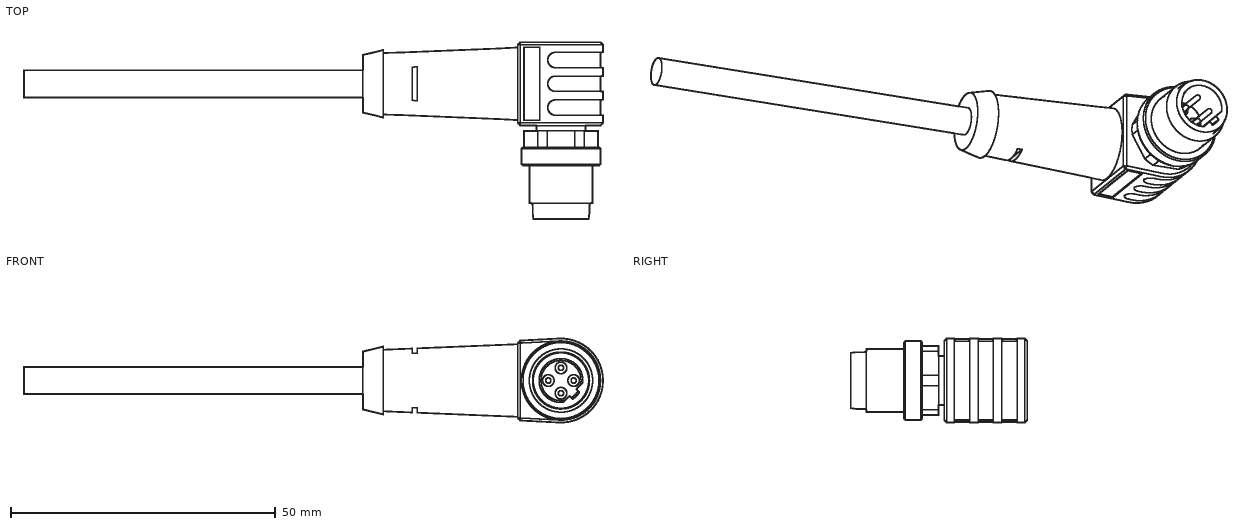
import cadquery as cq
import math


CABLE_DIAMETER = 5.2
CABLE_END_X = -101.685
SLEEVE_START_X = -37.5
LIP_X = -33.6
LIP_START_DIAMETER = 11.0
LIP_DIAMETER = 12.9
SLEEVE_SMALL_DIAMETER = 11.7
SLEEVE_LARGE_DIAMETER = 13.8
NOTCH_CENTER_X = -27.7
NOTCH_WIDTH = 0.9
NOTCH_FLOOR_Z = 5.2

HEAD_RADIUS = 7.985
HEAD_DEPTH = 15.8
HEAD_BACK_X = -8.2
HEAD_TAPER_DEG = 3.0
HEAD_CHAMFER = 0.5
GRIP_COUNT = 3
GRIP_WIDTH = 2.9
GRIP_PITCH = 4.5
GRIP_START_X = -2.5
GRIP_DEPTH = 0.5
GRIP_FLOOR_FILLET = 0.25
LABEL_CENTER_X = -5.1
LABEL_LENGTH = 3.0
LABEL_WIDTH = 13.8
LABEL_DEPTH = 0.2

HEAD_FRONT = HEAD_DEPTH / 2
TOTAL_Y = 33.5
PLUG_LENGTH = TOTAL_Y - HEAD_DEPTH
NECK_DIAMETER = 9.3
NECK_END = 1.0
NUT_FLATS = 13.1
NUT_CORNERS = 14.1
HALF_HEX_STEP_DEG = 30.0
NUT_END = 4.1
COLLAR_DIAMETER = 15.0
COLLAR_END = 7.6
COLLAR_CHAMFER = 0.3
BODY_DIAMETER = 12.0
BODY_END = 14.7
NOSE_ROOT_FILLET = 0.35
NOSE_DIAMETER = 10.8
NOSE_TIP_DIAMETER = 10.5
NOSE_TAPER_START = 16.6

CAVITY_DIAMETER = 8.3
CAVITY_DEPTH = 9.0
CAVITY_FLOOR = PLUG_LENGTH - CAVITY_DEPTH
CAVITY_FLOOR_DIAMETER = 7.6
FLAT_DISTANCE = 3.2
KEYWAY_WIDTH = 1.8
KEYWAY_ANGLE_DEG = 45.0
PIN_COUNT = 4
PIN_DIAMETER = 1.0
PIN_CIRCLE_RADIUS = 2.4
PIN_SETBACK = 1.5
PIN_RECESS_DIAMETER = 2.2
PIN_RECESS_DEPTH = 0.5

OVERLAP = 0.5


def make_cable_and_sleeve():
    """Cable, flared lip and tapered sleeve as one turned body."""
    return (
        cq.Workplane("XZ")
        .moveTo(CABLE_END_X, 0)
        .lineTo(CABLE_END_X, CABLE_DIAMETER / 2)
        .lineTo(SLEEVE_START_X, CABLE_DIAMETER / 2)
        .lineTo(SLEEVE_START_X, LIP_START_DIAMETER / 2)
        .lineTo(LIP_X, LIP_DIAMETER / 2)
        .lineTo(LIP_X, SLEEVE_SMALL_DIAMETER / 2)
        .lineTo(HEAD_BACK_X, SLEEVE_LARGE_DIAMETER / 2)
        .lineTo(HEAD_BACK_X + OVERLAP, SLEEVE_LARGE_DIAMETER / 2)
        .lineTo(HEAD_BACK_X + OVERLAP, 0)
        .close()
        .revolve(360, (0, 0, 0), (1, 0, 0))
    )


def cut_sleeve_notches(body):
    """Flat-bottomed notch across the top and the bottom of the sleeve."""
    height = LIP_DIAMETER / 2 - NOTCH_FLOOR_Z
    for side in (1, -1):
        notch = cq.Workplane("XY").box(NOTCH_WIDTH, LIP_DIAMETER, height)
        center_z = side * (NOTCH_FLOOR_Z + height / 2)
        body = body.cut(notch.translate((NOTCH_CENTER_X, 0, center_z)))
    return body


def make_head_block(radius):
    """Round-ended block whose sloping flanks are tangent to the round end."""
    taper = math.radians(HEAD_TAPER_DEG)
    tangent_x = -radius * math.sin(taper)
    tangent_z = radius * math.cos(taper)
    back_z = tangent_z + (HEAD_BACK_X - tangent_x) * math.tan(taper)
    return (
        cq.Workplane("XZ")
        .moveTo(HEAD_BACK_X, -back_z)
        .lineTo(tangent_x, -tangent_z)
        .threePointArc((radius, 0), (tangent_x, tangent_z))
        .lineTo(HEAD_BACK_X, back_z)
        .close()
        .extrude(HEAD_DEPTH / 2, both=True)
    )


def make_grip_cutter():
    """Round-ended finger groove wrapped around the round end of the head."""
    end_x = HEAD_RADIUS + GRIP_WIDTH
    slot = (
        cq.Workplane("XY")
        .slot2D(end_x - GRIP_START_X, GRIP_WIDTH)
        .extrude(2 * HEAD_RADIUS, both=True)
        .translate(((GRIP_START_X + end_x) / 2, 0, 0))
    )
    cutter = slot.cut(make_head_block(HEAD_RADIUS - GRIP_DEPTH))
    near_head = cq.selectors.BoxSelector(
        (GRIP_START_X - OVERLAP, -GRIP_WIDTH, -HEAD_RADIUS),
        (HEAD_RADIUS, GRIP_WIDTH, HEAD_RADIUS),
    )
    return cutter.edges("not |Y").edges(near_head).fillet(GRIP_FLOOR_FILLET)


def cut_grips(head):
    cutter = make_grip_cutter()
    for index in range(GRIP_COUNT):
        offset_y = (index - (GRIP_COUNT - 1) / 2) * GRIP_PITCH
        head = head.cut(cutter.translate((0, offset_y, 0)))
    return head


def cut_label_recesses(head):
    """Shallow rectangular recess following each sloping flank."""
    flank_distance = HEAD_RADIUS - LABEL_DEPTH / 2
    label = (
        cq.Workplane("XY")
        .box(LABEL_LENGTH, LABEL_WIDTH, LABEL_DEPTH)
        .translate((LABEL_CENTER_X, 0, flank_distance))
        .rotate((0, 0, 0), (0, 1, 0), -HEAD_TAPER_DEG)
    )
    return head.cut(label).cut(label.mirror("XY"))


def make_head():
    head = make_head_block(HEAD_RADIUS)
    head = head.faces("<Y or >Y or <X").edges().chamfer(HEAD_CHAMFER)
    return cut_label_recesses(cut_grips(head))


def plug_cylinder(diameter, start, end):
    """Cylinder on the plug axis between two distances from the head's front."""
    return (
        cq.Workplane("XZ", origin=(0, -HEAD_FRONT - start, 0))
        .circle(diameter / 2)
        .extrude(end - start)
    )


def make_nut():
    """Hexagon, corners along X, with its corners turned down."""
    hexagon = (
        cq.Workplane("XZ", origin=(0, -HEAD_FRONT - NECK_END, 0))
        .polygon(6, NUT_FLATS, circumscribed=True)
        .extrude(NUT_END - NECK_END)
        .rotate((0, 0, 0), (0, 1, 0), HALF_HEX_STEP_DEG)
    )
    return hexagon.intersect(plug_cylinder(NUT_CORNERS, NECK_END, NUT_END))


def make_barrel():
    """Thick body stepping down, with a filleted root, to a tapered nose."""
    body_y = -HEAD_FRONT - BODY_END
    nose_radius = NOSE_DIAMETER / 2
    return (
        cq.Workplane("XY")
        .moveTo(0, -HEAD_FRONT - COLLAR_END)
        .lineTo(BODY_DIAMETER / 2, -HEAD_FRONT - COLLAR_END)
        .lineTo(BODY_DIAMETER / 2, body_y)
        .lineTo(nose_radius + NOSE_ROOT_FILLET, body_y)
        .radiusArc((nose_radius, body_y - NOSE_ROOT_FILLET), -NOSE_ROOT_FILLET)
        .lineTo(nose_radius, -HEAD_FRONT - NOSE_TAPER_START)
        .lineTo(NOSE_TIP_DIAMETER / 2, -HEAD_FRONT - PLUG_LENGTH)
        .lineTo(0, -HEAD_FRONT - PLUG_LENGTH)
        .close()
        .revolve(360, (0, 0, 0), (0, 1, 0))
    )


def make_plug_shell():
    collar = plug_cylinder(COLLAR_DIAMETER, NUT_END, COLLAR_END)
    collar = collar.edges().chamfer(COLLAR_CHAMFER)
    neck = plug_cylinder(NECK_DIAMETER, -OVERLAP, NECK_END)
    return neck.union(make_nut()).union(collar).union(make_barrel())


def make_cavity():
    """Slightly tapered round cavity, flattened on one side with a keyway through the flat."""
    floor_y = -HEAD_FRONT - CAVITY_FLOOR
    cone = (
        cq.Workplane("XZ", origin=(0, floor_y, 0))
        .circle(CAVITY_FLOOR_DIAMETER / 2)
        .workplane(offset=CAVITY_DEPTH)
        .circle(CAVITY_DIAMETER / 2)
        .loft()
    )
    flat_rib = (
        cq.Workplane("XY")
        .box(CAVITY_DIAMETER, CAVITY_DEPTH, CAVITY_DIAMETER)
        .translate((FLAT_DISTANCE + CAVITY_DIAMETER / 2, 0, 0))
    )
    keyway = cq.Workplane("XY").box(2 * CAVITY_DIAMETER, CAVITY_DEPTH, KEYWAY_WIDTH)
    rib_pair = (
        flat_rib.cut(keyway)
        .rotate((0, 0, 0), (0, 1, 0), KEYWAY_ANGLE_DEG)
        .translate((0, floor_y - CAVITY_DEPTH / 2, 0))
    )
    return cone.cut(rib_pair)


def make_pin():
    """Contact pin on the plug axis with a hemispherical tip."""
    radius = PIN_DIAMETER / 2
    root_y = -HEAD_FRONT - CAVITY_FLOOR + PIN_RECESS_DEPTH + OVERLAP
    tip_y = -HEAD_FRONT - PLUG_LENGTH + PIN_SETBACK
    return (
        cq.Workplane("XY")
        .moveTo(0, root_y)
        .lineTo(radius, root_y)
        .lineTo(radius, tip_y + radius)
        .radiusArc((0, tip_y), radius)
        .close()
        .revolve(360, (0, 0, 0), (0, 1, 0))
    )


def add_pins(plug):
    """Contact pins, each standing in a shallow round recess in the cavity floor."""
    recess = plug_cylinder(PIN_RECESS_DIAMETER, CAVITY_FLOOR - PIN_RECESS_DEPTH, CAVITY_FLOOR)
    pin = make_pin()
    for index in range(PIN_COUNT):
        angle = 2 * math.pi * index / PIN_COUNT
        x = PIN_CIRCLE_RADIUS * math.cos(angle)
        z = PIN_CIRCLE_RADIUS * math.sin(angle)
        plug = plug.cut(recess.translate((x, 0, z))).union(pin.translate((x, 0, z)))
    return plug


def make_plug():
    return add_pins(make_plug_shell().cut(make_cavity()))


cable_and_sleeve = cut_sleeve_notches(make_cable_and_sleeve())
result = cable_and_sleeve.union(make_head()).union(make_plug())